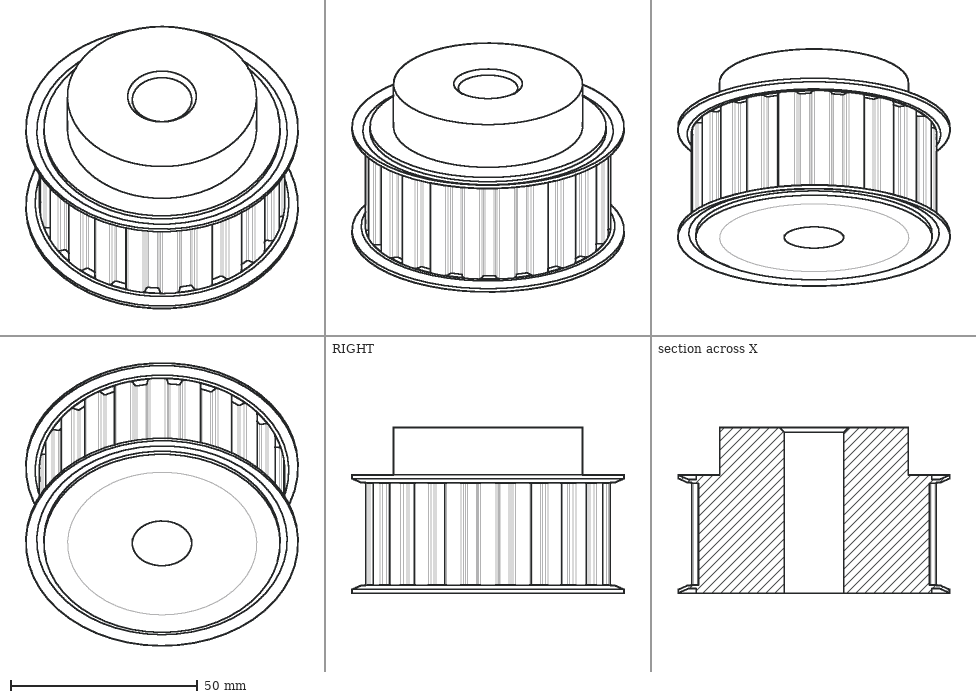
import cadquery as cq
import math

flange_diameter = 73.0
total_height = 44.5
pulley_height = 31.8
hub_diameter = 50.75

bore_diameter = 15.9
bore_chamfer = 1.25

tooth_count = 22
tip_radius = 32.95
groove_depth = 1.9
groove_floor_width = 3.1
groove_wall_angle = 20.0
floor_fillet = 0.45
tip_fillet = 0.6

flange_edge = 1.0
dish_depth = 1.25
flange_depth = 2.1
end_disc_depth = 2.3
shoulder_radius = 31.7
outer_flat_radius = 33.6
inner_flat_radius = 34.0

flange_radius = flange_diameter / 2
floor_radius = tip_radius - groove_depth
tooth_pitch_angle = 360.0 / tooth_count


def cylinder(radius, height, base=0.0):
    return cq.Workplane("XY").workplane(offset=base).circle(radius).extrude(height)


def groove_cutter():
    """One trapezoidal belt groove centred on the -Y axis, running out past the tooth tips."""
    cutter_radius = tip_radius + groove_depth
    half_floor = groove_floor_width / 2
    wall_spread = (cutter_radius - floor_radius) * math.tan(math.radians(groove_wall_angle))
    half_mouth = half_floor + wall_spread
    outline = [
        (-half_mouth, -cutter_radius),
        (-half_floor, -floor_radius),
        (half_floor, -floor_radius),
        (half_mouth, -cutter_radius),
    ]
    cutter = cq.Workplane("XY").polyline(outline).close().extrude(pulley_height)
    return cutter.edges("|Z and >Y").fillet(floor_fillet)


def is_tooth_corner(edge):
    """True for the sharp groove mouth edges, leaving out the cylinder's own seam on the X axis."""
    centre = edge.Center()
    mid_wall_radius = (tip_radius + floor_radius) / 2
    on_tip_circle = math.hypot(centre.x, centre.y) > mid_wall_radius
    return on_tip_circle and abs(centre.y) > tip_fillet


def toothed_rim():
    """Grooved cylinder between the flanges, with rounded tooth tips."""
    rim = cylinder(tip_radius, pulley_height - 2 * flange_depth, flange_depth)
    cutter = groove_cutter()
    for index in range(tooth_count):
        rim = rim.cut(cutter.rotate((0, 0, 0), (0, 0, 1), index * tooth_pitch_angle))
    return rim.edges("|Z").filter(is_tooth_corner).fillet(tip_fillet)


def dished_flange():
    """Lower flange: a ring dished on its underside, with the end disc inside it."""
    profile = [
        (0, 0),
        (shoulder_radius, 0),
        (shoulder_radius, dish_depth),
        (outer_flat_radius, dish_depth),
        (flange_radius, 0),
        (flange_radius, flange_edge),
        (inner_flat_radius, flange_depth),
        (tip_radius, flange_depth),
        (tip_radius, end_disc_depth),
        (0, end_disc_depth),
    ]
    return cq.Workplane("XZ").polyline(profile).close().revolve(360, (0, 0, 0), (0, 1, 0))


lower_flange = dished_flange()
upper_flange = lower_flange.mirror("XY", (0, 0, pulley_height / 2))
hub = cylinder(hub_diameter / 2, total_height)

body = toothed_rim().union(lower_flange).union(upper_flange).union(hub)

bored_body = body.cut(cylinder(bore_diameter / 2, total_height))
bore_rim = bored_body.faces(">Z").edges(cq.selectors.RadiusNthSelector(0))
result = bore_rim.chamfer(bore_chamfer)